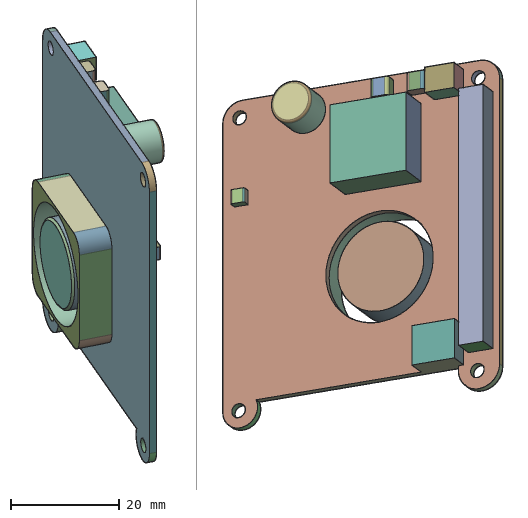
import cadquery as cq

board_width = 56.7
board_height = 65.0
board_thickness = 1.4
corner_radius = 4.1
bottom_edge_z = -27.3
left_ear_radius = 4.2
right_ear_radius = 3.6
left_ear_bottom_z = -board_height / 2
right_ear_bottom_z = -32.3
screw_hole_diameter = 2.7
screw_holes = [(-24.0, 29.1), (24.9, 29.1), (-23.8, -28.85), (25.1, -28.85)]

frame_x = -4.0
frame_z = -5.0
frame_side = 24.95
frame_depth = 6.45
frame_corner_radius = 3.1
frame_bore_diameter = 23.5
board_opening_diameter = 22.0
board_opening_x = frame_x + 0.25

disc_diameter = 17.6
disc_front_y = -frame_depth
disc_back_y = board_thickness
disc_chamfer = 0.45

connector_height = 4.2
strip_x = (-27.0, -22.0)
strip_z = (-25.0, 25.9)
block_x = (-21.0, -15.0)
block_z = (26.2, 31.2)
tall_box_x = (-12.3, 3.25)
tall_box_z = (10.4, 25.9)
tall_box_height = 6.6
socket_x = (block_x[0], tall_box_x[0])
socket_z = (bottom_edge_z, -19.5)
socket_height = 4.0
can_x = 11.4
can_z = 27.95
can_diameter = 8.2
can_height = 6.45
can_edge_radius = 0.45
button_side = 3.65
button_height = 2.5
button_edge_radius = 0.65
button_centers_x = (-12.15, -4.8)
button_top_z = 31.45
chip_x = 24.5
chip_z = 13.0
chip_side = 2.8
chip_height = 1.75
chip_edge_radius = 0.3


def cylinder(x, z, diameter, front_y, back_y):
    """Cylinder along Y between two Y positions."""
    return (
        cq.Workplane("XZ", origin=(x, front_y, z))
        .circle(diameter / 2)
        .extrude(front_y - back_y)
    )


def block(x_range, z_range, front_y, back_y):
    """Box between the given limits."""
    size = (x_range[1] - x_range[0], back_y - front_y, z_range[1] - z_range[0])
    return cq.Workplane("XY", origin=(x_range[0], front_y, z_range[0])).box(*size, centered=False)


def back_block(x_range, z_range, height):
    """Box standing on the back face of the board."""
    return block(x_range, z_range, board_thickness, board_thickness + height)


def around(center, side):
    """Limits of a length centred on a position."""
    return (center - side / 2, center + side / 2)


def make_ear(side, radius, bottom_z):
    """Rounded lug at a lower corner; side is -1 for left and 1 for right."""
    outer_x = side * board_width / 2
    center_x = outer_x - side * radius
    center_z = bottom_z + radius
    disc = cylinder(center_x, center_z, 2 * radius, 0, board_thickness)
    web = block(
        (min(outer_x, center_x), max(outer_x, center_x)),
        (center_z, bottom_edge_z + radius),
        0,
        board_thickness,
    )
    return disc.union(web)


def make_board():
    plate = block(around(0, board_width), (bottom_edge_z, board_height / 2), 0, board_thickness)
    plate = plate.edges("|Y and >Z").fillet(corner_radius)
    plate = plate.union(make_ear(-1, left_ear_radius, left_ear_bottom_z))
    plate = plate.union(make_ear(1, right_ear_radius, right_ear_bottom_z))
    for x, z in screw_holes:
        plate = plate.cut(cylinder(x, z, screw_hole_diameter, 0, board_thickness))
    return plate.cut(
        cylinder(board_opening_x, frame_z, board_opening_diameter, 0, board_thickness)
    )


def make_frame():
    frame = block(around(frame_x, frame_side), around(frame_z, frame_side), -frame_depth, 0)
    frame = frame.edges("|Y").fillet(frame_corner_radius)
    return frame.cut(cylinder(frame_x, frame_z, frame_bore_diameter, -frame_depth, 0))


def make_can():
    can = cylinder(can_x, can_z, can_diameter, board_thickness, board_thickness + can_height)
    return can.faces(">Y").edges().fillet(can_edge_radius)


def make_button(x):
    z_range = (button_top_z - button_side, button_top_z)
    button = back_block(around(x, button_side), z_range, button_height)
    return button.faces(">Y").edges("|Z").fillet(button_edge_radius)


def make_chip():
    chip = back_block(around(chip_x, chip_side), around(chip_z, chip_side), chip_height)
    return chip.faces(">Y").edges("|Z").fillet(chip_edge_radius)


def make_board_assembly():
    """Board with its frame and all the parts fixed to its back, as one solid."""
    body = make_board().union(make_frame())
    body = body.union(back_block(strip_x, strip_z, connector_height))
    body = body.union(back_block(block_x, block_z, connector_height))
    body = body.union(back_block(tall_box_x, tall_box_z, tall_box_height))
    body = body.union(back_block(socket_x, socket_z, socket_height))
    body = body.union(make_can())
    for x in button_centers_x:
        body = body.union(make_button(x))
    return body.union(make_chip())


def make_disc():
    disc = cylinder(frame_x, frame_z, disc_diameter, disc_front_y, disc_back_y)
    return disc.faces("<Y").edges().chamfer(disc_chamfer)


board_assembly = make_board_assembly()
disc = make_disc()

result = cq.Compound.makeCompound([board_assembly.val(), disc.val()])